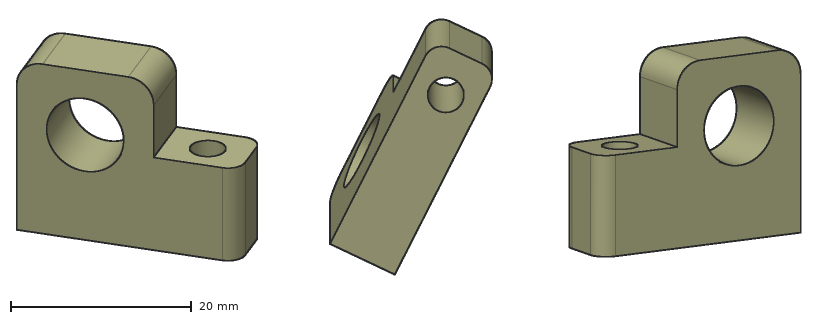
import cadquery as cq

length = 26.0
depth = 8.0
height = 21.0

block_length = 16.0
block_corner_radius = 3.0
bore_diameter = 9.0
bore_x = block_length / 2
bore_z = height - block_length / 2

foot_height = 11.5
foot_corner_radius = 2.0
screw_hole_diameter = 4.0
screw_hole_x = (block_length + length) / 2
screw_hole_y = depth / 2


def make_block():
    """Tall block with its two upper edges rounded."""
    block = cq.Workplane("XY").box(block_length, depth, height, centered=False)
    return block.edges("|Y and >Z").fillet(block_corner_radius)


def make_foot():
    """Low foot along the full length with its two end edges rounded."""
    foot = cq.Workplane("XY").box(length, depth, foot_height, centered=False)
    return foot.edges("|Z and >X").fillet(foot_corner_radius)


def make_bore():
    """Cylinder running through the block along Y."""
    plane = cq.Workplane("XZ").center(bore_x, bore_z)
    return plane.circle(bore_diameter / 2).extrude(-depth)


def make_screw_hole():
    """Cylinder running through the foot along Z."""
    plane = cq.Workplane("XY").center(screw_hole_x, screw_hole_y)
    return plane.circle(screw_hole_diameter / 2).extrude(foot_height)


body = make_block().union(make_foot())
result = body.cut(make_bore()).cut(make_screw_hole())